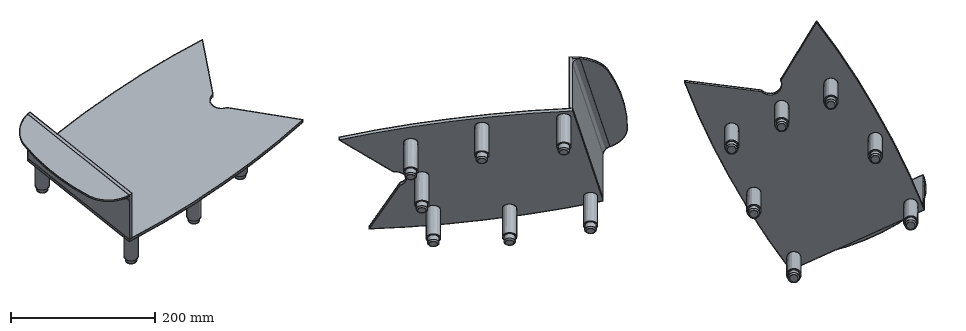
import cadquery as cq
import math

PLATE_THICKNESS = 5.0
WALL_HEIGHT = 90.0
SHELF_THICKNESS = 3.0
GUSSET_RADIUS = 10.0
TOP_Z = PLATE_THICKNESS + WALL_HEIGHT
SHELF_BOTTOM_Z = TOP_Z - SHELF_THICKNESS

WIDEST_X = 114.0
WIDEST_Y = 30.0
REAR_Y = 189.4
REAR_LEFT_X = -104.4
REAR_RIGHT_X = 101.5
REAR_BULGE = 2.7
WALL_THICKNESS = 5.0
WALL_FRONT_Y = -141.3
FRONT_LEFT_X = -103.0
FRONT_RIGHT_X = 105.3
FRONT_BULGE = 3.0

NOTCH_RADIUS = 16.0
NOTCH_X = -2.4
NOTCH_Y = 131.4
NOTCH_LEFT_ANGLE = math.radians(184)
NOTCH_RIGHT_ANGLE = math.radians(-15)

SHELF_FRONT_X = 3.0
SHELF_FRONT_Y = -190.2
SHELF_LEFT_CORNER = (-65.5, -183.3)
SHELF_RIGHT_CORNER = (70.0, -183.0)
SHELF_CORNER_BULGE = 8.3

PIN_DIAMETER = 20.0
PIN_LENGTH = 50.0
TIP_DIAMETER = 16.0
TIP_LENGTH = 10.0
TIP_CHAMFER = 2.0
REAR_ROW_Y = 93.4
MIDDLE_ROW_Y = -10.7
FRONT_ROW_Y = -126.0
PIN_POSITIONS = [
    (-77.7, REAR_ROW_Y),
    (-0.9, REAR_ROW_Y),
    (77.0, REAR_ROW_Y),
    (-93.6, MIDDLE_ROW_Y),
    (95.6, MIDDLE_ROW_Y),
    (-89.8, FRONT_ROW_Y),
    (92.4, FRONT_ROW_Y),
]


def bulged_midpoint(start, end, bulge):
    """Middle of an arc that stands out to the right of the line from start to end."""
    run = end[0] - start[0]
    rise = end[1] - start[1]
    length = math.hypot(run, rise)
    middle_x = (start[0] + end[0]) / 2 + bulge * rise / length
    middle_y = (start[1] + end[1]) / 2 - bulge * run / length
    return middle_x, middle_y


def notch_point(angle):
    """Point on the notch circle at the given angle from +X."""
    return NOTCH_X + NOTCH_RADIUS * math.cos(angle), NOTCH_Y + NOTCH_RADIUS * math.sin(angle)


REAR_LEFT = (REAR_LEFT_X, REAR_Y)
REAR_RIGHT = (REAR_RIGHT_X, REAR_Y)
WIDEST_LEFT = (-WIDEST_X, WIDEST_Y)
WIDEST_RIGHT = (WIDEST_X, WIDEST_Y)
FRONT_LEFT = (FRONT_LEFT_X, WALL_FRONT_Y)
FRONT_RIGHT = (FRONT_RIGHT_X, WALL_FRONT_Y)


def plate_blank(height):
    """Full plan outline of the plate, extruded upwards from Z = 0."""
    return (
        cq.Workplane("XY")
        .moveTo(*REAR_LEFT)
        .threePointArc(bulged_midpoint(REAR_LEFT, WIDEST_LEFT, REAR_BULGE), WIDEST_LEFT)
        .threePointArc(bulged_midpoint(WIDEST_LEFT, FRONT_LEFT, FRONT_BULGE), FRONT_LEFT)
        .lineTo(*FRONT_RIGHT)
        .threePointArc(bulged_midpoint(FRONT_RIGHT, WIDEST_RIGHT, FRONT_BULGE), WIDEST_RIGHT)
        .threePointArc(bulged_midpoint(WIDEST_RIGHT, REAR_RIGHT, REAR_BULGE), REAR_RIGHT)
        .lineTo(*notch_point(NOTCH_RIGHT_ANGLE))
        .threePointArc((NOTCH_X, NOTCH_Y - NOTCH_RADIUS), notch_point(NOTCH_LEFT_ANGLE))
        .close()
        .extrude(height)
    )


def shelf_blank(height):
    """Rounded plan outline of the shelf, from the wall to its curved front edge."""
    left_middle = bulged_midpoint(FRONT_LEFT, SHELF_LEFT_CORNER, SHELF_CORNER_BULGE)
    right_middle = bulged_midpoint(SHELF_RIGHT_CORNER, FRONT_RIGHT, SHELF_CORNER_BULGE)
    return (
        cq.Workplane("XY")
        .moveTo(*FRONT_LEFT)
        .threePointArc(left_middle, SHELF_LEFT_CORNER)
        .threePointArc((SHELF_FRONT_X, SHELF_FRONT_Y), SHELF_RIGHT_CORNER)
        .threePointArc(right_middle, FRONT_RIGHT)
        .close()
        .extrude(height)
    )


def support_pin():
    """One pin hanging below Z = 0: a shaft with a thinner, chamfered tip."""
    shaft = cq.Workplane("XY").circle(PIN_DIAMETER / 2).extrude(-PIN_LENGTH)
    tip = (
        cq.Workplane("XY")
        .workplane(offset=-PIN_LENGTH)
        .circle(TIP_DIAMETER / 2)
        .extrude(-TIP_LENGTH)
        .faces("<Z")
        .chamfer(TIP_CHAMFER)
    )
    return shaft.union(tip)


def make_base_plate():
    """Base plate with its support pins, as one solid."""
    plate = plate_blank(PLATE_THICKNESS)
    for x, y in PIN_POSITIONS:
        plate = plate.union(support_pin().translate((x, y, 0)))
    return plate


def make_gusset():
    """Concave strip in the corner between the wall and the shelf, trimmed to the shelf outline."""
    strip = (
        cq.Workplane("YZ")
        .moveTo(WALL_FRONT_Y, SHELF_BOTTOM_Z)
        .lineTo(WALL_FRONT_Y, SHELF_BOTTOM_Z - GUSSET_RADIUS)
        .radiusArc((WALL_FRONT_Y - GUSSET_RADIUS, SHELF_BOTTOM_Z), -GUSSET_RADIUS)
        .close()
        .extrude(WIDEST_X, both=True)
    )
    return strip.intersect(shelf_blank(TOP_Z))


def make_wall():
    """Upright wall along the front edge of the plate, with the gusset strip that carries the shelf."""
    band = (
        cq.Workplane("XY")
        .box(2 * WIDEST_X, WALL_THICKNESS, WALL_HEIGHT, centered=(True, False, False))
        .translate((0, WALL_FRONT_Y, PLATE_THICKNESS))
    )
    return band.intersect(plate_blank(TOP_Z)).union(make_gusset())


def make_shelf():
    """Thin shelf in front of the wall, flush with its top and resting on the gusset."""
    return shelf_blank(SHELF_THICKNESS).translate((0, 0, SHELF_BOTTOM_Z))


base_plate = make_base_plate()
wall = make_wall()
shelf = make_shelf()

result = cq.Compound.makeCompound([base_plate.solids().val(), wall.solids().val(), shelf.val()])